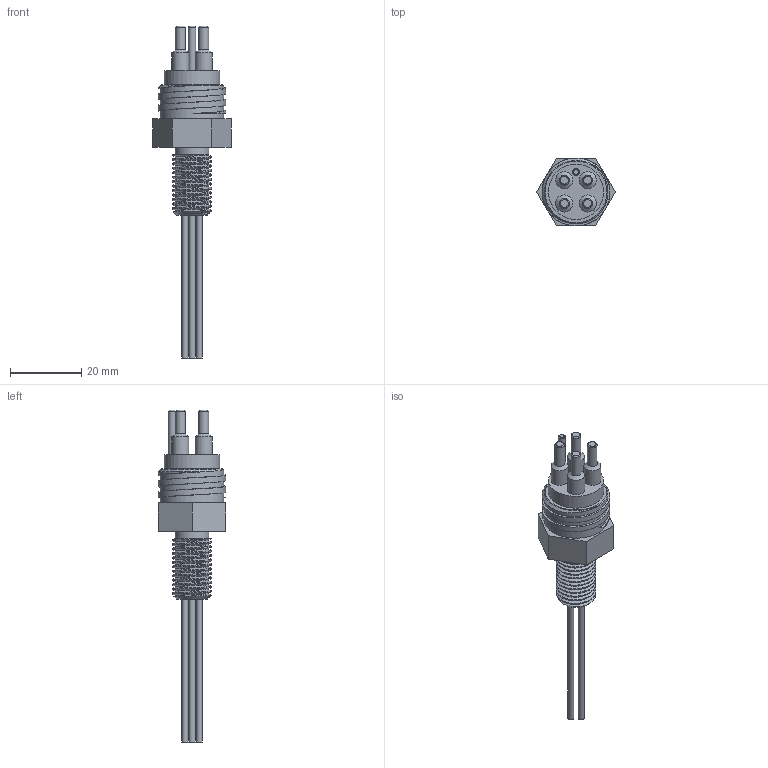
import cadquery as cq
import math


hex_across_flats = 19.0
hex_across_corners = hex_across_flats / math.cos(math.pi / 6)
hex_height = 8.0

shell_diameter = 17.9
shell_height = 9.5
shell_top = hex_height + shell_height
shell_top_diameter = 17.3
shell_thread_diameter = 19.0
shell_thread_pitch = 25.4 / 8
shell_thread_crest_width = 1.6
shell_thread_root_width = 1.7
shell_neck_height = 1.5
shell_thread_bottom = hex_height + shell_neck_height
shell_thread_crest_height = hex_height + 4.6

insert_diameter = 15.5
insert_exposed_height = 4.0
insert_top = shell_top + insert_exposed_height

pin_top = 34.0
pin_diameter = 2.8
pin_spacing = 6.5
pin_chamfer = 0.3
sleeve_diameter = 4.8
sleeve_straight_height = 5.0
sleeve_cone_base = insert_top + sleeve_straight_height
sleeve_cone_height = 0.8

guide_pin_diameter = 2.0
guide_pin_y = 5.6

stem_diameter = 9.5
stem_length = 19.0
stem_end_diameter = 8.7
stem_thread_diameter = 11.0
stem_thread_pitch = 1.25
stem_thread_crest_width = 0.3
stem_thread_root_width = 1.0
stem_neck_length = 2.0
stem_thread_top = -stem_neck_length
stem_thread_crest_height = -3.98

wire_diameter = 1.7
wire_length = 40.0
wire_circle_radius = 2.0
wire_count = 4

thread_embed = 0.15
trim_overrun = 5.0
thread_clearance = 0.5


def cylinder(diameter, bottom, top, x=0.0, y=0.0):
    """Upright cylinder between two heights."""
    return cq.Workplane("XY", origin=(x, y, bottom)).circle(diameter / 2).extrude(top - bottom)


def revolve_profile(points):
    """Solid of revolution about Z from (radius, height) points."""
    return cq.Workplane("XZ").polyline(points).close().revolve(360, (0, 0, 0), (0, 1, 0))


def thread_ridge(core_diameter, crest_diameter, pitch, crest_width, root_width, crest_height, bottom, top):
    """Right-handed trapezoidal ridge that overruns both the given heights."""
    start = crest_height + pitch * math.floor((bottom - crest_height) / pitch - 1)
    turns = math.ceil((top - start) / pitch + 1)
    inner = core_diameter / 2 - thread_embed
    outer = crest_diameter / 2
    flank_slope = (root_width - crest_width) / (crest_diameter - core_diameter)
    inner_half_width = root_width / 2 + flank_slope * thread_embed
    corners = [
        (inner, start - inner_half_width),
        (outer, start - crest_width / 2),
        (outer, start + crest_width / 2),
        (inner, start + inner_half_width),
    ]
    helices = [
        cq.Wire.makeHelix(pitch, turns * pitch, radius, center=cq.Vector(0, 0, height))
        for radius, height in corners
    ]
    sides = [cq.Face.makeRuledSurface(helices[i - 1], helices[i]) for i in range(len(helices))]
    end_points = [cq.Vector(radius, 0, height) for radius, height in corners]
    end_outline = cq.Wire.makePolygon(end_points, close=True)
    lower_end = cq.Face.makeFromWires(end_outline)
    upper_end = lower_end.translate(cq.Vector(0, 0, turns * pitch))
    shell = cq.Shell.makeShell(sides + [lower_end, upper_end])
    return cq.Workplane(obj=cq.Solid.makeSolid(shell))


def threaded_shell():
    """Shell with a 45 degree lead-in chamfer cutting both core and ridge at the top."""
    ridge = thread_ridge(
        shell_diameter, shell_thread_diameter, shell_thread_pitch, shell_thread_crest_width,
        shell_thread_root_width, shell_thread_crest_height, shell_thread_bottom, shell_top,
    )
    top_radius = shell_top_diameter / 2
    core_radius = shell_diameter / 2
    envelope_radius = shell_thread_diameter / 2 + thread_clearance
    core = revolve_profile([
        (0, hex_height),
        (core_radius, hex_height),
        (core_radius, shell_top - (core_radius - top_radius)),
        (top_radius, shell_top),
        (0, shell_top),
    ])
    envelope = revolve_profile([
        (0, shell_thread_bottom),
        (envelope_radius, shell_thread_bottom),
        (envelope_radius, shell_top - (envelope_radius - top_radius)),
        (top_radius, shell_top),
        (0, shell_top),
    ])
    return core.union(ridge.intersect(envelope))


def threaded_stem():
    """Stem with a plain neck above the thread and a 45 degree chamfer at the lower end."""
    ridge = thread_ridge(
        stem_diameter, stem_thread_diameter, stem_thread_pitch, stem_thread_crest_width,
        stem_thread_root_width, stem_thread_crest_height, -stem_length, stem_thread_top,
    )
    core = cylinder(stem_diameter, -stem_length - trim_overrun, 0)
    end_radius = stem_end_diameter / 2
    envelope_radius = stem_thread_diameter / 2 + thread_clearance
    envelope = revolve_profile([
        (0, stem_thread_top),
        (envelope_radius, stem_thread_top),
        (envelope_radius, -stem_length + envelope_radius - end_radius),
        (end_radius, -stem_length),
        (0, -stem_length),
    ])
    neck = cylinder(stem_diameter, stem_thread_top, 0)
    return core.union(ridge).intersect(envelope).union(neck)


def contact_pin(x, y):
    """Pin with a chamfered tip, rising from a sleeve that tapers to the pin."""
    sleeve_radius = sleeve_diameter / 2
    pin_radius = pin_diameter / 2
    pin = revolve_profile([
        (0, insert_top),
        (sleeve_radius, insert_top),
        (sleeve_radius, sleeve_cone_base),
        (pin_radius, sleeve_cone_base + sleeve_cone_height),
        (pin_radius, pin_top - pin_chamfer),
        (pin_radius - pin_chamfer, pin_top),
        (0, pin_top),
    ])
    return pin.translate((x, y, 0))


def guide_pin():
    """Slim pin with a chamfered tip, standing directly on the insert."""
    pin = cylinder(guide_pin_diameter, insert_top, pin_top, y=guide_pin_y)
    return pin.faces(">Z").chamfer(pin_chamfer)


def wire(index):
    """One of the wires evenly spaced on a circle below the stem."""
    angle = 2 * math.pi * index / wire_count
    x = wire_circle_radius * math.cos(angle)
    y = wire_circle_radius * math.sin(angle)
    return cylinder(wire_diameter, -stem_length - wire_length, -stem_length, x, y)


hexagon = cq.Workplane("XY").polygon(6, hex_across_corners).extrude(hex_height)

result = hexagon.union(cylinder(insert_diameter, hex_height, insert_top))
for side_x in (-1, 1):
    for side_y in (-1, 1):
        result = result.union(contact_pin(side_x * pin_spacing / 2, side_y * pin_spacing / 2))
result = result.union(guide_pin())
result = result.union(threaded_shell())

stem = threaded_stem()
for wire_index in range(wire_count):
    stem = stem.union(wire(wire_index))
result = result.union(stem)